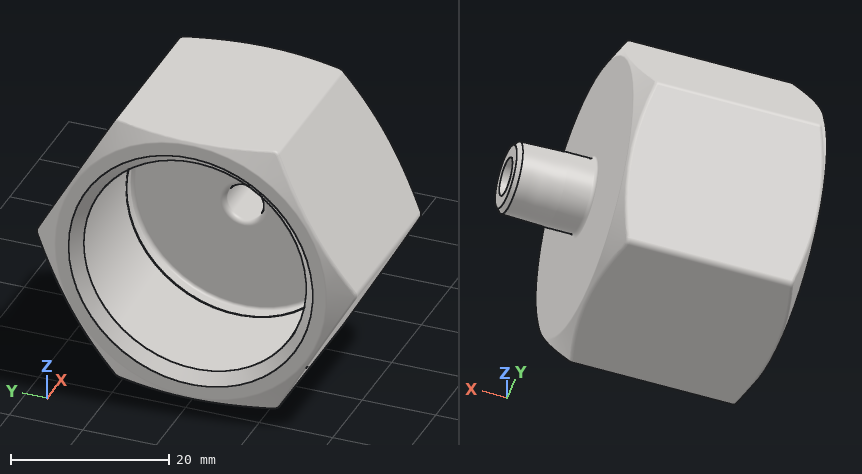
import cadquery as cq
import math

BODY_LENGTH = 26.0
ACROSS_ROUNDED_CORNERS = 43.55
CORNER_RADIUS = 1.0
SHARP_CORNER_EXCESS = CORNER_RADIUS * (2 / math.sqrt(3) - 1)
ACROSS_SHARP_CORNERS = ACROSS_ROUNDED_CORNERS + 2 * SHARP_CORNER_EXCESS
END_FACE_DIAMETER = 36.95
END_CHAMFER_ANGLE = 30.0
END_EDGE_RADIUS = CORNER_RADIUS / 2

TOTAL_LENGTH = 36.5
SPIGOT_DIAMETER = 9.9
SPIGOT_STRAIGHT_LENGTH = 4.0
SPIGOT_TAPER = 1 / 16
SPIGOT_ROOT_RADIUS = END_EDGE_RADIUS
SPIGOT_TIP_CHAMFER = 0.6

BORE_DIAMETER = 30.3
BORE_DEPTH = 18.0
BORE_MOUTH_DIAMETER = 33.25
BORE_MOUTH_ANGLE = 45.0
RELIEF_DIAMETER = 30.5
RELIEF_WIDTH = 2.0
BORE_FLOOR_RADIUS = END_EDGE_RADIUS

PASSAGE_DIAMETER = 5.0
PASSAGE_RIM_RADIUS = 0.75


def revolve_about_x(profile):
    return profile.close().revolve(360, (0, 0, 0), (1, 0, 0))


def hex_body():
    """Hexagonal prism with rounded corners, chamfered and blended at both ends."""
    prism = (
        cq.Workplane("YZ")
        .polygon(6, ACROSS_SHARP_CORNERS)
        .extrude(BODY_LENGTH)
        .edges("|X")
        .fillet(CORNER_RADIUS)
    )
    face_radius = END_FACE_DIAMETER / 2
    outer_radius = ACROSS_SHARP_CORNERS / 2
    setback = (outer_radius - face_radius) * math.tan(math.radians(END_CHAMFER_ANGLE))
    envelope = revolve_about_x(
        cq.Workplane("XY")
        .lineTo(0, face_radius)
        .lineTo(setback, outer_radius)
        .lineTo(BODY_LENGTH - setback, outer_radius)
        .lineTo(BODY_LENGTH, face_radius)
        .lineTo(BODY_LENGTH, 0)
    )
    body = prism.intersect(envelope)
    return body.edges("not |X").fillet(END_EDGE_RADIUS)


def spigot():
    """Straight then tapered stub with a filleted root and a chamfered tip."""
    radius = SPIGOT_DIAMETER / 2
    taper_start = BODY_LENGTH + SPIGOT_STRAIGHT_LENGTH
    chamfer_start = TOTAL_LENGTH - SPIGOT_TIP_CHAMFER
    taper_end_radius = radius - (chamfer_start - taper_start) * SPIGOT_TAPER / 2
    return revolve_about_x(
        cq.Workplane("XY")
        .moveTo(BORE_DEPTH, 0)
        .lineTo(BORE_DEPTH, radius + SPIGOT_ROOT_RADIUS)
        .lineTo(BODY_LENGTH, radius + SPIGOT_ROOT_RADIUS)
        .radiusArc((BODY_LENGTH + SPIGOT_ROOT_RADIUS, radius), -SPIGOT_ROOT_RADIUS)
        .lineTo(taper_start, radius)
        .lineTo(chamfer_start, taper_end_radius)
        .lineTo(TOTAL_LENGTH, taper_end_radius - SPIGOT_TIP_CHAMFER)
        .lineTo(TOTAL_LENGTH, 0)
    )


def cavity():
    """Chamfered bore, relief groove, rounded floor and the through passage."""
    mouth = BORE_MOUTH_DIAMETER / 2
    bore = BORE_DIAMETER / 2
    relief = RELIEF_DIAMETER / 2
    passage = PASSAGE_DIAMETER / 2
    mouth_depth = (mouth - bore) / math.tan(math.radians(BORE_MOUTH_ANGLE))
    relief_start = BORE_DEPTH - RELIEF_WIDTH
    return revolve_about_x(
        cq.Workplane("XY")
        .lineTo(0, mouth)
        .lineTo(mouth_depth, bore)
        .lineTo(relief_start, bore)
        .lineTo(relief_start, relief)
        .lineTo(BORE_DEPTH - BORE_FLOOR_RADIUS, relief)
        .radiusArc((BORE_DEPTH, relief - BORE_FLOOR_RADIUS), BORE_FLOOR_RADIUS)
        .lineTo(BORE_DEPTH, passage + PASSAGE_RIM_RADIUS)
        .radiusArc((BORE_DEPTH + PASSAGE_RIM_RADIUS, passage), -PASSAGE_RIM_RADIUS)
        .lineTo(TOTAL_LENGTH, passage)
        .lineTo(TOTAL_LENGTH, 0)
    )


result = hex_body().union(spigot()).cut(cavity())